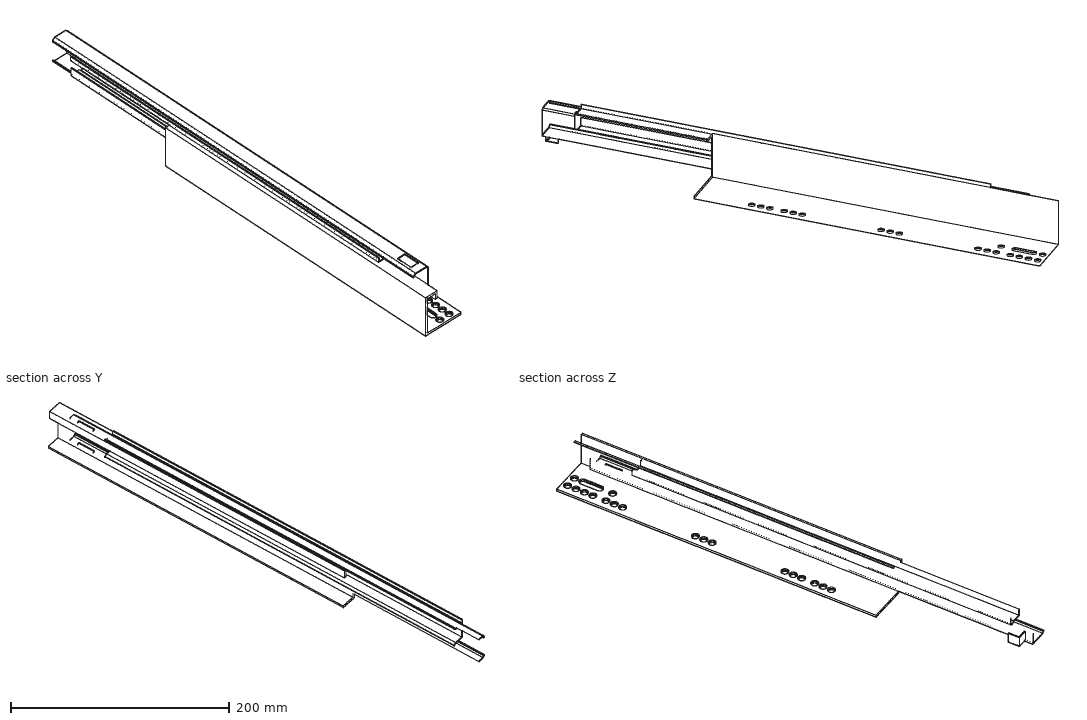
import cadquery as cq
import math


BRACKET_START = 157.5
BRACKET_END = 500
BRACKET_WIDTH = 45.5
BRACKET_HEIGHT = 45.5
BRACKET_SHEET = 2.5
TOP_FLANGE_WIDTH = 15.0
TOP_LIP_END_Z = 36.5

HOLE_DIAMETER = 6.0
COUNTERSINK_DIAMETER = 7.5
COUNTERSINK_FLANK = 45
COUNTERSINK_DEPTH = (COUNTERSINK_DIAMETER - HOLE_DIAMETER) / 2
HOLE_PITCH = 9.0
OUTER_ROW_Y = 36.0
INNER_ROW_Y = 24.0
FIRST_GROUP_X = 211.0
GROUP_STEP = 32.0
GROUP_SIZES = {0: 3, 1: 3, 4: 3, 7: 3, 8: 4}
LAST_GROUP_X = FIRST_GROUP_X + 8 * GROUP_STEP
END_HOLE_X = LAST_GROUP_X + 3 * HOLE_PITCH
WINDOW_HOLE_X = FIRST_GROUP_X + 7 * GROUP_STEP + 2 * HOLE_PITCH
SLOT_TRAVEL = 2 * HOLE_PITCH

RAIL_SHEET = 1.2

MIDDLE_START = 29.0
MIDDLE_END = 434.5
MIDDLE_SECTION = [
    (5.0, 51.5),
    (5.0, 48.0),
    (14.0, 48.0),
    (16.0, 50.0),
    (18.5, 50.0),
    (20.0, 48.5),
    (20.0, 29.5),
    (17.5, 27.0),
    (16.0, 27.0),
    (14.0, 29.0),
    (4.0, 29.0),
    (4.0, 38.0),
]

DRAWER_LENGTH = 475.0
DRAWER_BACK_Y = 28.0
DRAWER_BOTTOM_Z = 24.5
DRAWER_TOP_Z = 53.5
DRAWER_SECTION = [
    (8.5, 49.5),
    (8.5, 51.0),
    (11.5, DRAWER_TOP_Z),
    (25.5, DRAWER_TOP_Z),
    (DRAWER_BACK_Y, 51.5),
    (DRAWER_BACK_Y, DRAWER_BOTTOM_Z),
    (10.5, DRAWER_BOTTOM_Z),
    (8.5, 26.5),
    (8.5, 27.5),
]

WINDOW_START = 448.0
WINDOW_END = 466.0
WINDOW_FRONT_Y = 14.5
WINDOW_BACK_Y = 24.0

HOOK_X = 8.0
HOOK_LENGTH = 12.0
HOOK_END_Y = 38.5
HOOK_BOTTOM_Z = 26.0
HOOK_TOP_Z = 36.5


def offset_path(path, distance):
    """Open path moved sideways to its right by the distance, with mitred corners."""
    headings = []
    for start, end in zip(path, path[1:]):
        headings.append(math.atan2(end[1] - start[1], end[0] - start[0]))
    before = [headings[0]] + headings
    after = headings + [headings[-1]]
    moved = []
    for point, heading_in, heading_out in zip(path, before, after):
        half_turn = math.remainder(heading_out - heading_in, 2 * math.pi) / 2
        reach = distance / math.cos(half_turn)
        direction = heading_in + half_turn - math.pi / 2
        moved.append((point[0] + reach * math.cos(direction), point[1] + reach * math.sin(direction)))
    return moved


def sheet_rail(path, thickness, start, end):
    """Sheet section whose one face follows the path, extruded along X."""
    outline = path + offset_path(path, thickness)[::-1]
    return cq.Workplane("YZ", origin=(start, 0, 0)).polyline(outline).close().extrude(end - start)


def box_between(low, high):
    """Box spanning two opposite corners."""
    sizes = [b - a for a, b in zip(low, high)]
    return cq.Workplane("XY").box(*sizes, centered=False).translate(low)


def countersunk_cutter(center, travel):
    """Cutter for the bracket flange: a hole, stretched along X by the travel, with a flared top."""

    def outline(bottom_z, diameter):
        plane = cq.Workplane("XY", origin=(center[0] + travel / 2, center[1], bottom_z))
        if travel == 0:
            return plane.circle(diameter / 2)
        return plane.slot2D(travel + diameter, diameter)

    shank = outline(0, HOLE_DIAMETER).extrude(BRACKET_SHEET)
    flare_start = BRACKET_SHEET - COUNTERSINK_DEPTH
    flare = outline(flare_start, HOLE_DIAMETER).extrude(COUNTERSINK_DEPTH, taper=-COUNTERSINK_FLANK)
    return shank.union(flare)


def make_bracket():
    section = [
        (BRACKET_WIDTH, 0),
        (0, 0),
        (0, BRACKET_HEIGHT),
        (TOP_FLANGE_WIDTH, BRACKET_HEIGHT),
        (TOP_FLANGE_WIDTH, TOP_LIP_END_Z),
    ]
    bracket = sheet_rail(section, BRACKET_SHEET, BRACKET_START, BRACKET_END)

    hole_centers = [(WINDOW_HOLE_X, INNER_ROW_Y), (END_HOLE_X, INNER_ROW_Y)]
    for step, count in GROUP_SIZES.items():
        for index in range(count):
            x = FIRST_GROUP_X + step * GROUP_STEP + index * HOLE_PITCH
            hole_centers.append((x, OUTER_ROW_Y))
    for center in hole_centers:
        bracket = bracket.cut(countersunk_cutter(center, 0))
    return bracket.cut(countersunk_cutter((LAST_GROUP_X, INNER_ROW_Y), SLOT_TRAVEL))


def make_middle_rail():
    return sheet_rail(MIDDLE_SECTION, RAIL_SHEET, MIDDLE_START, MIDDLE_END)


def make_drawer_rail():
    rail = sheet_rail(DRAWER_SECTION, RAIL_SHEET, 0, DRAWER_LENGTH)
    window = box_between(
        (WINDOW_START, WINDOW_FRONT_Y, DRAWER_BOTTOM_Z),
        (WINDOW_END, WINDOW_BACK_Y, DRAWER_TOP_Z),
    )
    hook_web = box_between(
        (HOOK_X, DRAWER_BACK_Y, HOOK_BOTTOM_Z),
        (HOOK_X + RAIL_SHEET, HOOK_END_Y, HOOK_TOP_Z),
    )
    hook_tip = box_between(
        (HOOK_X, HOOK_END_Y - RAIL_SHEET, HOOK_BOTTOM_Z),
        (HOOK_X + HOOK_LENGTH, HOOK_END_Y, HOOK_TOP_Z),
    )
    return rail.cut(window).union(hook_web).union(hook_tip)


bracket = make_bracket()
middle_rail = make_middle_rail()
drawer_rail = make_drawer_rail()

result = cq.Compound.makeCompound([bracket.val(), middle_rail.val(), drawer_rail.val()])